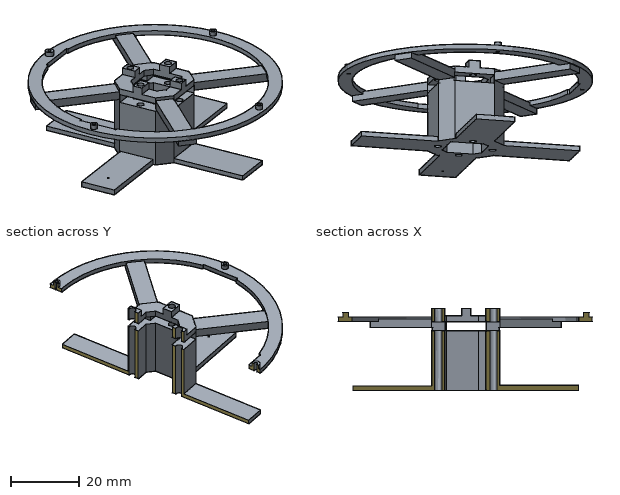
import cadquery as cq
import math

RIM_RADIUS = 37.2
RIM_INNER_RADIUS = 33.1
RIM_BOTTOM = 20.2
RIM_TOP = 21.6
SPOKE_REACH = 36.75
SPOKE_OVERLAP = 0.4
SPOKE_WIDTH = 5.5
SPOKE_BOTTOM = 18.45
SPOKE_TOP = 21.0
SPOKE_ANGLES = (45, 135, 225, 315)

HUB_CENTER_X = -0.2
HUB_CENTER_Y = -0.15
HUB_WIDTH = 19.95
HUB_CHAMFER = 3.95
HUB_TOP = 21.95
OPENING_HALF = 5.95
OPENING_CHAMFER = 2.0
SMALL_OPENING_CHAMFER = 0.45

WINDOW_BOTTOM = 17.55
WINDOW_TOP = 20.1
WINDOW_MIN = -6.1
WINDOW_MAX = OPENING_HALF

PART_TOP = 24.0
BLOCK_HOLE_DIAMETER = 2.0
BLOCK_HOLE_OFFSET = 8.25
BLOCK_HOLE_OFFSET_BACK = 7.9
BLOCK_HOLE_SHIFT = -0.2
FRONT_BLOCK = (-1.7, 1.3)
BACK_BLOCK = (-1.9, 1.5)
LEFT_BLOCK = (-1.5, 1.3)
RIGHT_BLOCK = (-1.6, 1.05)

BLADE_THICKNESS = 1.4
FRONT_BLADE_THICKNESS = 1.6
BLADE_REACH = 32.9
LONG_BLADE_REACH = 33.1
FRONT_BLADE = (-5.95, 5.05)
BACK_BLADE = (-6.2, 5.5)
LEFT_BLADE = (-6.1, 5.7)
RIGHT_BLADE = (-6.1, 5.5)
RIM_NOTCH_FRONT = (-6.4, 5.5)
MARK_HOLE_DIAMETER = 0.5
MARK_HOLE_X = -0.45
MARK_HOLE_Y = -27.1

PIN_TOP = 22.9
PIN_HOLE_DIAMETER = 1.0
PIN_DIAMETER = 2.0
LARGE_PIN_DIAMETER = 2.5
PINS = (
    (-35.4, -0.2, LARGE_PIN_DIAMETER),
    (35.2, -0.45, PIN_DIAMETER),
    (-0.45, 35.0, PIN_DIAMETER),
    (-0.45, -35.4, PIN_DIAMETER),
)

HUB_LEFT = HUB_CENTER_X - HUB_WIDTH / 2
HUB_RIGHT = HUB_CENTER_X + HUB_WIDTH / 2
HUB_FRONT = HUB_CENTER_Y - HUB_WIDTH / 2
HUB_BACK = HUB_CENTER_Y + HUB_WIDTH / 2


def box(x_range, y_range, z_range):
    """Box between the given (low, high) limits on each axis."""
    lows, highs = zip(x_range, y_range, z_range)
    size = [high - low for low, high in zip(lows, highs)]
    return cq.Workplane("XY").box(*size, centered=False).translate(lows)


def cylinder(x, y, diameter, bottom, top):
    """Vertical cylinder at (x, y)."""
    return cq.Workplane("XY", origin=(x, y, bottom)).circle(diameter / 2).extrude(top - bottom)


def make_rim():
    """Ring with flats inside it that clear the two long blades."""
    height = RIM_TOP - RIM_BOTTOM
    rim = cq.Workplane("XY", origin=(0, 0, RIM_BOTTOM)).circle(RIM_RADIUS)
    rim = rim.circle(RIM_INNER_RADIUS).extrude(height)
    rim_heights = (RIM_BOTTOM, RIM_TOP)
    rim = rim.cut(box(RIM_NOTCH_FRONT, (-LONG_BLADE_REACH, 0), rim_heights))
    return rim.cut(box((-LONG_BLADE_REACH, 0), LEFT_BLADE, rim_heights))


def make_spoke(angle):
    """Bar running outward from the hub's chamfered corner to the rim's outer edge."""
    start = (HUB_WIDTH - HUB_CHAMFER) / math.sqrt(2) - SPOKE_OVERLAP
    half_width = SPOKE_WIDTH / 2
    spoke = box((start, SPOKE_REACH), (-half_width, half_width), (SPOKE_BOTTOM, SPOKE_TOP))
    return spoke.rotate((0, 0, 0), (0, 0, 1), angle).translate((HUB_CENTER_X, HUB_CENTER_Y, 0))


def make_opening():
    """Square through opening with chamfered corners."""
    side = (-OPENING_HALF, OPENING_HALF)
    opening = box(side, side, (0, PART_TOP))
    opening = opening.edges("|Z").edges(">(1, 1, 0)").chamfer(SMALL_OPENING_CHAMFER)
    for corner in ("<(1, 1, 0)", "<(1, -1, 0)", ">(1, -1, 0)"):
        opening = opening.edges("|Z").edges(corner).chamfer(OPENING_CHAMFER)
    return opening


def make_column():
    """Solid octagonal column."""
    column = box((HUB_LEFT, HUB_RIGHT), (HUB_FRONT, HUB_BACK), (0, HUB_TOP))
    return column.edges("|Z").chamfer(HUB_CHAMFER)


def make_windows():
    """Crossing slots that open all four sides of the hub under its top plate."""
    span = (WINDOW_MIN, WINDOW_MAX)
    heights = (WINDOW_BOTTOM, WINDOW_TOP)
    windows = box(span, (HUB_FRONT, HUB_BACK), heights)
    windows = windows.union(box((HUB_LEFT, HUB_RIGHT), span, heights))
    inner_post = (
        cq.Workplane("XY", origin=(0, 0, WINDOW_BOTTOM))
        .moveTo(WINDOW_MAX, WINDOW_MAX)
        .lineTo(WINDOW_MAX - SMALL_OPENING_CHAMFER, WINDOW_MAX)
        .lineTo(WINDOW_MAX, WINDOW_MAX - SMALL_OPENING_CHAMFER)
        .close()
        .extrude(WINDOW_TOP - WINDOW_BOTTOM)
    )
    return windows.cut(inner_post)


def make_blocks():
    """Four screw blocks standing on the hub between the opening and the hub's sides."""
    heights = (HUB_TOP, PART_TOP)
    blocks = box(FRONT_BLOCK, (HUB_FRONT, -OPENING_HALF), heights)
    blocks = blocks.union(box(BACK_BLOCK, (OPENING_HALF, HUB_BACK), heights))
    blocks = blocks.union(box((HUB_LEFT, -OPENING_HALF), LEFT_BLOCK, heights))
    return blocks.union(box((OPENING_HALF, HUB_RIGHT), RIGHT_BLOCK, heights))


def make_blades():
    """Four flat blades reaching out from the foot of the hub."""
    heights = (0, BLADE_THICKNESS)
    blades = box(FRONT_BLADE, (-LONG_BLADE_REACH, -OPENING_HALF), (0, FRONT_BLADE_THICKNESS))
    blades = blades.union(box(BACK_BLADE, (OPENING_HALF, BLADE_REACH), heights))
    blades = blades.union(box((-LONG_BLADE_REACH, -OPENING_HALF), LEFT_BLADE, heights))
    return blades.union(box((OPENING_HALF, BLADE_REACH), RIGHT_BLADE, heights))


result = make_column().union(make_blades()).union(make_blocks()).union(make_rim())
for spoke_angle in SPOKE_ANGLES:
    result = result.union(make_spoke(spoke_angle))
for pin_x, pin_y, pin_diameter in PINS:
    result = result.union(cylinder(pin_x, pin_y, pin_diameter, RIM_BOTTOM, PIN_TOP))

result = result.cut(make_windows())
result = result.cut(make_opening())
for pin_x, pin_y, _ in PINS:
    result = result.cut(cylinder(pin_x, pin_y, PIN_HOLE_DIAMETER, RIM_BOTTOM, PIN_TOP))
block_holes = (
    (BLOCK_HOLE_SHIFT, -BLOCK_HOLE_OFFSET),
    (BLOCK_HOLE_SHIFT, BLOCK_HOLE_OFFSET_BACK),
    (-BLOCK_HOLE_OFFSET, BLOCK_HOLE_SHIFT),
    (BLOCK_HOLE_OFFSET, BLOCK_HOLE_SHIFT),
)
for hole_x, hole_y in block_holes:
    result = result.cut(cylinder(hole_x, hole_y, BLOCK_HOLE_DIAMETER, 0, PART_TOP))
mark_hole = cylinder(MARK_HOLE_X, MARK_HOLE_Y, MARK_HOLE_DIAMETER, 0, FRONT_BLADE_THICKNESS)
result = result.cut(mark_hole)